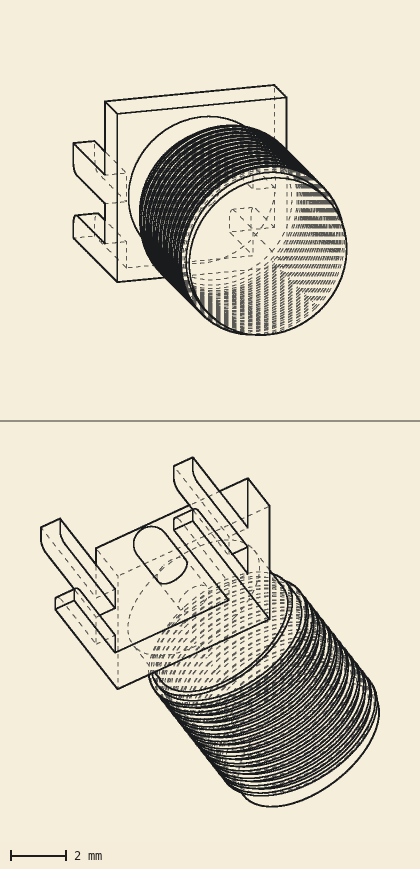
import cadquery as cq


plate_side = 6.35
plate_thickness = 1.5

neck_diameter = 5.5
neck_length = 1.97
barrel_diameter = 5.9
barrel_length = 6.03
barrel_start = plate_thickness + neck_length

crest_diameter = 6.3
crest_width = 0.15
root_width = 0.25
root_sink = 0.08
ridge_count = 13
ridge_pitch = 0.4
ridge_tilt = 4.8
first_ridge_offset = 0.39

long_leg_length = 3.83
short_leg_length = 2.84
leg_seat = 1.0
leg_width = 0.8
leg_gap = 1.5
lower_leg_height = 0.99
lower_leg_radius = 0.5
upper_leg_height = 1.08
upper_leg_radius = 0.37

pin_diameter = 1.27
pin_length = 2.04
pin_tip_radius = 0.59
pin_drop = 0.04
pin_seat = plate_thickness


def x_cylinder(diameter, start, length):
    """Cylinder on the connector axis, running toward +X from the start position."""
    return cq.Workplane("YZ").workplane(offset=start).circle(diameter / 2).extrude(length)


def thread_ridge(start):
    """Ridge with an upright rear flank and a sloped front flank, turned about a tilted axis."""
    crest_radius = crest_diameter / 2
    root_radius = barrel_diameter / 2 - root_sink
    profile = [
        (0, root_radius),
        (0, crest_radius),
        (crest_width, crest_radius),
        (root_width, root_radius),
    ]
    ridge = cq.Workplane("XY").polyline(profile).close().revolve(360, (0, 0, 0), (1, 0, 0))
    return ridge.rotate((0, 0, 0), (0, 0, 1), ridge_tilt).translate((start, 0, 0))


def leg(side, length, bottom, height, round_edge, round_radius):
    """Leg flush with one side of the plate (side is -1 or +1), with one rounded end edge."""
    center_y = side * (plate_side - leg_width) / 2
    blank = cq.Workplane("XY").box(
        length + leg_seat, leg_width, height, centered=(False, True, False)
    )
    rounded = blank.faces("<X").edges(round_edge).fillet(round_radius)
    return rounded.translate((-length, center_y, bottom))


def pin_cylinder(start, length):
    """Cylinder on the pin axis, used for both the pin and its hole."""
    return x_cylinder(pin_diameter, start, length).translate((0, 0, -pin_drop))


def make_housing():
    """Plate, legs and threaded barrel in one piece, with a blind hole for the pin."""
    body = cq.Workplane("XY").box(
        plate_thickness, plate_side, plate_side, centered=(False, True, True)
    )
    body = body.union(x_cylinder(neck_diameter, plate_thickness, neck_length))

    barrel = x_cylinder(barrel_diameter, barrel_start, barrel_length)
    for index in range(ridge_count):
        start = barrel_start + first_ridge_offset + index * ridge_pitch
        barrel = barrel.union(thread_ridge(start))
    body = body.union(barrel)

    body = body.cut(pin_cylinder(0, pin_seat))

    lower_bottom = -plate_side / 2
    upper_bottom = lower_bottom + lower_leg_height + leg_gap
    for side, lower_length in ((-1, long_leg_length), (1, short_leg_length)):
        lower_leg = leg(side, lower_length, lower_bottom, lower_leg_height, ">Z", lower_leg_radius)
        upper_leg = leg(side, long_leg_length, upper_bottom, upper_leg_height, "<Z", upper_leg_radius)
        body = body.union(lower_leg, clean=False).union(upper_leg, clean=False)
    return body


def make_pin():
    """Contact pin with a rounded rear tip, seated in the housing's hole."""
    pin = pin_cylinder(-pin_length, pin_length + pin_seat)
    return pin.faces("<X").edges().fillet(pin_tip_radius)


housing = make_housing()
contact_pin = make_pin()

result = cq.Compound.makeCompound([housing.val(), contact_pin.val()])